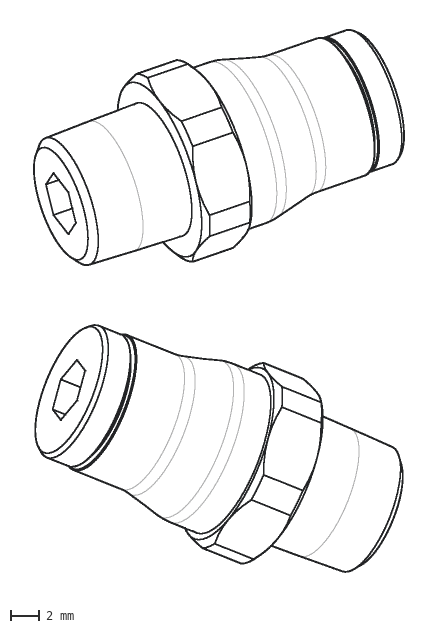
import cadquery as cq
import math


spigot_length = 7.87
spigot_root_radius = 4.98
spigot_end_radius = 4.75
tip_radius = 4.18
tip_chamfer_length = 0.52
taper_split_y = 4.0
taper_split_radius = 4.88

nut_length = 4.0
nut_across_flats = 13.0
nut_corner_radius = 7.0
nut_face_radius = nut_across_flats / 2
nut_chamfer_length = 0.4

total_length = 24.9
body_large_radius = 6.05
body_small_radius = 5.15
body_large_end_y = 14.07
blend_radius = 3.3
cone_angle = math.radians(14.2)
body_end_y = 22.4
body_edge_chamfer = 0.07

groove_width = 0.3
groove_radius = 4.48
collar_radius = 5.03
collar_edge_length = 0.32
collar_edge_depth = 0.25
collar_rear_chamfer = 0.07

socket_across_flats = 3.98

nut_end_y = spigot_length + nut_length


def hexagon_prism(across_flats, start_y, length):
    """Hexagonal prism along +Y with two flats facing +Z and -Z."""
    across_corners = across_flats / math.cos(math.pi / 6)
    plane = cq.Workplane("XZ", origin=(0, start_y, 0))
    return plane.polygon(6, across_corners).extrude(-length)


def revolve_about_y(profile):
    return profile.close().revolve(360, (0, 0, 0), (0, 1, 0))


def make_spigot():
    outline = (
        cq.Workplane("XY")
        .lineTo(tip_radius, 0)
        .lineTo(spigot_end_radius, tip_chamfer_length)
        .lineTo(taper_split_radius, taper_split_y)
        .lineTo(spigot_root_radius, spigot_length)
        .lineTo(0, spigot_length)
    )
    return revolve_about_y(outline)


def make_nut():
    disc = revolve_about_y(
        cq.Workplane("XY")
        .moveTo(0, spigot_length)
        .lineTo(nut_face_radius, spigot_length)
        .lineTo(nut_corner_radius, spigot_length + nut_chamfer_length)
        .lineTo(nut_corner_radius, nut_end_y - nut_chamfer_length)
        .lineTo(nut_face_radius, nut_end_y)
        .lineTo(0, nut_end_y)
    )
    return hexagon_prism(nut_across_flats, spigot_length, nut_length).intersect(disc)


def make_sleeve():
    arc_length_y = blend_radius * math.sin(cone_angle)
    arc_drop = blend_radius * (1 - math.cos(cone_angle))
    cone_drop = body_large_radius - body_small_radius - 2 * arc_drop
    cone_start_y = body_large_end_y + arc_length_y
    cone_end_y = cone_start_y + cone_drop / math.tan(cone_angle)
    body_small_start_y = cone_end_y + arc_length_y

    half_length_y = blend_radius * math.sin(cone_angle / 2)
    half_drop = blend_radius * (1 - math.cos(cone_angle / 2))
    collar_start_y = body_end_y + groove_width

    return revolve_about_y(
        cq.Workplane("XY")
        .moveTo(0, nut_end_y)
        .lineTo(body_large_radius, nut_end_y)
        .lineTo(body_large_radius, body_large_end_y)
        .threePointArc(
            (body_large_radius - half_drop, body_large_end_y + half_length_y),
            (body_large_radius - arc_drop, cone_start_y),
        )
        .lineTo(body_small_radius + arc_drop, cone_end_y)
        .threePointArc(
            (body_small_radius + half_drop, body_small_start_y - half_length_y),
            (body_small_radius, body_small_start_y),
        )
        .lineTo(body_small_radius, body_end_y - body_edge_chamfer)
        .lineTo(body_small_radius - body_edge_chamfer, body_end_y)
        .lineTo(groove_radius, body_end_y)
        .lineTo(groove_radius, collar_start_y)
        .lineTo(collar_radius - collar_rear_chamfer, collar_start_y)
        .lineTo(collar_radius, collar_start_y + collar_rear_chamfer)
        .lineTo(collar_radius, total_length - collar_edge_length)
        .lineTo(collar_radius - collar_edge_depth, total_length)
        .lineTo(0, total_length)
    )


passage = hexagon_prism(socket_across_flats, 0, total_length)
result = make_spigot().union(make_nut()).union(make_sleeve()).cut(passage)